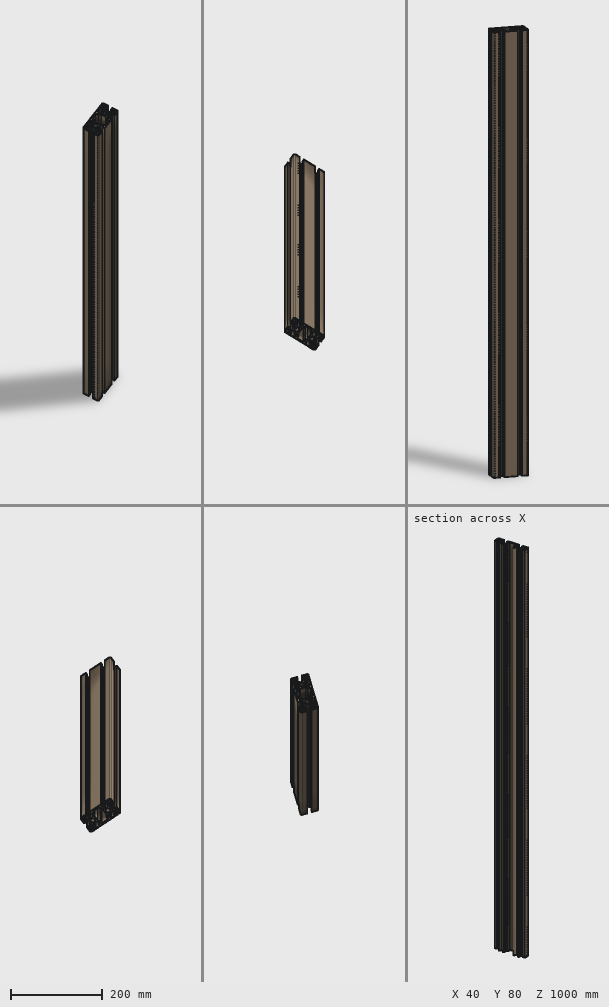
import cadquery as cq

WIDTH = 40.0
DEPTH = 80.0
LENGTH = 1000.0
CORNER_RADIUS = 3.0

MODULE = 40.0
SLOT_OPENING = 10.2
SLOT_LIP = 6.0
SLOT_INNER_WIDTH = 19.0
SLOT_SHOULDER = 3.25
SLOT_FLOOR_DEPTH = 12.0
SLOT_FLOOR_WIDTH = 12.0
FLOOR_GROOVE_WIDTH = 6.3
FLOOR_GROOVE_DEPTH = 1.5

COVER_THICKNESS = 1.25

BORE_DIAMETER = 10.0
CORNER_HOLLOW_LEG = 9.0
CORNER_HOLLOW_WALL = 2.75
CHAMBER_WIDTH = 33.5
CHAMBER_SIDE_DEPTH = 15.5
CHAMBER_SHOULDER_WIDTH = 19.5
CHAMBER_SHOULDER_DEPTH = 16.25
CHAMBER_CROWN_WIDTH = 12.5
CHAMBER_CROWN_DEPTH = 24.0

HALF_WIDTH = WIDTH / 2
HALF_DEPTH = DEPTH / 2
CORE_CENTERS_Y = (-MODULE / 2, MODULE / 2)
OPPOSITE_SIDES = (-1, 1)


def prism(outline):
    """Closed outline extruded over the full length."""
    return cq.Workplane("XY").polyline(outline).close().extrude(LENGTH)


def bar():
    """Solid bar with rounded long edges."""
    return cq.Workplane("XY").rect(WIDTH, DEPTH).extrude(LENGTH).edges("|Z").fillet(CORNER_RADIUS)


def slot(mouth_x, mouth_y, inward_angle, cover=0.0):
    """T-slot with a grooved floor; a cover leaves its mouth closed by a wall."""
    groove_bottom = SLOT_FLOOR_DEPTH + FLOOR_GROOVE_DEPTH
    half_outline = [
        (cover, SLOT_OPENING / 2),
        (SLOT_LIP, SLOT_OPENING / 2),
        (SLOT_LIP, SLOT_INNER_WIDTH / 2),
        (SLOT_LIP + SLOT_SHOULDER, SLOT_INNER_WIDTH / 2),
        (SLOT_FLOOR_DEPTH, SLOT_FLOOR_WIDTH / 2),
        (SLOT_FLOOR_DEPTH, FLOOR_GROOVE_WIDTH / 2),
        (groove_bottom, FLOOR_GROOVE_WIDTH / 2),
    ]
    mirrored = [(inward, -across) for inward, across in reversed(half_outline)]
    cutter = prism(half_outline + mirrored).rotate((0, 0, 0), (0, 0, 1), inward_angle)
    return cutter.translate((mouth_x, mouth_y, 0))


def core_bore(center_y):
    """Round bore through one core."""
    return cq.Workplane("XY").center(0, center_y).circle(BORE_DIAMETER / 2).extrude(LENGTH)


def corner_hollow(side_x, side_y):
    """Triangular hollow in one corner, its long side facing the slots."""
    outer_x = HALF_WIDTH - CORNER_HOLLOW_WALL
    outer_y = HALF_DEPTH - CORNER_HOLLOW_WALL
    outline = [
        (outer_x, outer_y),
        (outer_x - CORNER_HOLLOW_LEG, outer_y),
        (outer_x, outer_y - CORNER_HOLLOW_LEG),
    ]
    return prism([(side_x * x, side_y * y) for x, y in outline])


def chamber():
    """Central chamber, narrowing towards the two cores."""
    quarter = [
        (CHAMBER_WIDTH / 2, CHAMBER_SIDE_DEPTH / 2),
        (CHAMBER_SHOULDER_WIDTH / 2, CHAMBER_SHOULDER_DEPTH / 2),
        (CHAMBER_CROWN_WIDTH / 2, CHAMBER_CROWN_DEPTH / 2),
    ]
    upper = quarter + [(-x, y) for x, y in reversed(quarter)]
    lower = [(-x, -y) for x, y in upper]
    return prism(upper + lower)


result = bar().cut(chamber())

result = result.cut(slot(0, -HALF_DEPTH, 90))
result = result.cut(slot(0, HALF_DEPTH, -90))

for core_y in CORE_CENTERS_Y:
    result = result.cut(core_bore(core_y))
    result = result.cut(slot(HALF_WIDTH, core_y, 180))
    result = result.cut(slot(-HALF_WIDTH, core_y, 0, COVER_THICKNESS))

for side_x in OPPOSITE_SIDES:
    for side_y in OPPOSITE_SIDES:
        result = result.cut(corner_hollow(side_x, side_y))